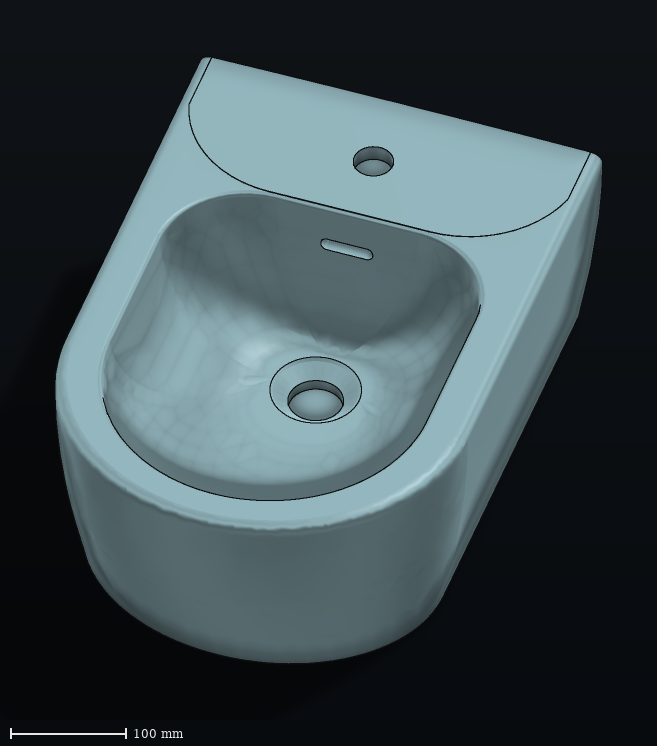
import cadquery as cq
import math

WIDTH = 370.0
LENGTH = 530.0
HEIGHT = 217.0
BACK_Y = 226.0
FRONT_Y = BACK_Y - LENGTH
DECK_RISE = 1.5
RIM_Z = HEIGHT - DECK_RISE
CUT_MARGIN = 5.5

RIM_RADIUS = 10.5
BASE_RADIUS = 7.5
SHELL_LEVELS = [
    (0, 23.5, 46.0),
    (RIM_Z / 2, 6.5, 12.5),
    (RIM_Z - RIM_RADIUS, 0, 0),
    (RIM_Z, 0, 0),
]
NOSE_DEPTH = 175.0

BASIN_HALF_WIDTH = 145.0
BASIN_BACK_Y = 85.0
BASIN_FRONT_Y = -268.0
BASIN_NOSE_DEPTH = 143.0
BASIN_CORNER = 79.5
BASIN_DEPTH = 135.0
BASIN_STEPS = [0, 0.35, 0.65, 0.88, 1.0]
BASIN_FULLNESS = 1.7
BASIN_EDGE_RADIUS = 4.0

DRAIN_RIM_RADIUS = 40.0
DRAIN_CORNER = 37.5
DRAIN_LIP = 2.5
DRAIN_DIAMETER = 48.0
DRAIN_CONE_DEPTH = 13.0
DRAIN_HOLE_DEPTH = 10.5

TAP_DIAMETER = 35.0
TAP_Y = 152.0
TAP_DEPTH = 16.0
OVERFLOW_WIDTH = 47.5
OVERFLOW_HEIGHT = 11.5
OVERFLOW_DROP = 40.0
OVERFLOW_DEPTH = 16.0

DECK_HALF_WIDTH = 174.0
DECK_SIDE_Y = 166.0
DECK_NECK_HALF_WIDTH = 74.0
DECK_ARC_MID = (140.0, 113.0)
DECK_ROOT = 5.5
DECK_NECK_Y = BASIN_BACK_Y + BASIN_EDGE_RADIUS
DECK_FALL = 1.3
DECK_DOME_RADIUS = (DECK_HALF_WIDTH**2 + DECK_FALL**2) / (2 * DECK_FALL)


def shell_level(z, side_inset, front_inset):
    """D-shaped outline with a straight back and an elliptical nose."""
    half = WIDTH / 2 - side_inset
    nose_y = FRONT_Y + NOSE_DEPTH
    return (
        cq.Workplane("XY", origin=(0, 0, z))
        .moveTo(half, BACK_Y)
        .lineTo(-half, BACK_Y)
        .lineTo(-half, nose_y)
        .ellipseArc(half, NOSE_DEPTH - front_inset, 180, 360, startAtCurrent=True)
        .close()
        .val()
    )


def make_shell():
    wires = [shell_level(*level) for level in SHELL_LEVELS]
    shell = cq.Workplane(cq.Solid.makeLoft(wires))
    shell = shell.faces(">Z").edges("not >Y").fillet(RIM_RADIUS)
    return shell.faces("<Z").edges("not >Y").fillet(BASE_RADIUS)


def make_deck():
    """Shallow domed plateau fading out towards the basin and the sides."""
    arc_x, arc_y = DECK_ARC_MID
    plan = (
        cq.Workplane("XY", origin=(0, 0, RIM_Z - DECK_ROOT))
        .moveTo(-DECK_HALF_WIDTH, BACK_Y)
        .lineTo(-DECK_HALF_WIDTH, DECK_SIDE_Y)
        .threePointArc((-arc_x, arc_y), (-DECK_NECK_HALF_WIDTH, DECK_NECK_Y))
        .lineTo(DECK_NECK_HALF_WIDTH, DECK_NECK_Y)
        .threePointArc((arc_x, arc_y), (DECK_HALF_WIDTH, DECK_SIDE_Y))
        .lineTo(DECK_HALF_WIDTH, BACK_Y)
        .close()
        .extrude(DECK_ROOT + DECK_RISE)
    )
    dome = cq.Workplane("XY", origin=(0, BACK_Y, HEIGHT - DECK_DOME_RADIUS)).sphere(DECK_DOME_RADIUS)
    return plan.intersect(dome)


def basin_level(step):
    """Basin outline at a fraction of its depth, shrinking to the drain rim."""
    spread = math.sqrt(1 - step**BASIN_FULLNESS)

    def blend(at_rim, at_drain):
        return at_drain + (at_rim - at_drain) * spread

    half = blend(BASIN_HALF_WIDTH, DRAIN_RIM_RADIUS)
    back = blend(BASIN_BACK_Y, DRAIN_RIM_RADIUS)
    front = blend(BASIN_FRONT_Y, -DRAIN_RIM_RADIUS)
    nose = blend(BASIN_NOSE_DEPTH, DRAIN_CORNER)
    corner = blend(BASIN_CORNER, DRAIN_CORNER)
    return (
        cq.Workplane("XY", origin=(0, 0, RIM_Z - BASIN_DEPTH * step))
        .moveTo(half - corner, back)
        .lineTo(corner - half, back)
        .radiusArc((-half, back - corner), -corner)
        .lineTo(-half, front + nose)
        .ellipseArc(half, nose, 180, 360, startAtCurrent=True)
        .lineTo(half, back - corner)
        .radiusArc((half - corner, back), -corner)
        .close()
        .val()
    )


def make_basin():
    return cq.Workplane(cq.Solid.makeLoft([basin_level(step) for step in BASIN_STEPS]))


def make_drain():
    cone_top = RIM_Z - BASIN_DEPTH
    hole_radius = DRAIN_DIAMETER / 2
    cone_bottom = cone_top - DRAIN_CONE_DEPTH
    hole_bottom = cone_bottom - DRAIN_HOLE_DEPTH
    return (
        cq.Workplane("XZ")
        .polyline([
            (0, cone_top + CUT_MARGIN),
            (DRAIN_RIM_RADIUS, cone_top + CUT_MARGIN),
            (DRAIN_RIM_RADIUS, cone_top),
            (DRAIN_RIM_RADIUS - DRAIN_LIP, cone_top - DRAIN_LIP),
            (hole_radius, cone_bottom),
            (hole_radius, hole_bottom),
            (0, hole_bottom),
        ])
        .close()
        .revolve(360, (0, 0, 0), (0, 1, 0))
    )


def make_tap_hole():
    return (
        cq.Workplane("XY", origin=(0, TAP_Y, HEIGHT - TAP_DEPTH))
        .circle(TAP_DIAMETER / 2)
        .extrude(TAP_DEPTH + CUT_MARGIN)
    )


def make_overflow():
    """Blind slot that enters the back wall of the basin."""
    return (
        cq.Workplane("XZ", origin=(0, BASIN_BACK_Y + OVERFLOW_DEPTH, RIM_Z - OVERFLOW_DROP))
        .slot2D(OVERFLOW_WIDTH, OVERFLOW_HEIGHT)
        .extrude(BASIN_BACK_Y)
    )


body = make_shell().cut(make_basin())
basin_edge = cq.selectors.BoxSelector(
    (-BASIN_HALF_WIDTH - CUT_MARGIN, BASIN_FRONT_Y - CUT_MARGIN, RIM_Z - CUT_MARGIN),
    (BASIN_HALF_WIDTH + CUT_MARGIN, BASIN_BACK_Y + CUT_MARGIN, RIM_Z + CUT_MARGIN),
    boundingbox=True,
)
body = body.edges(basin_edge).fillet(BASIN_EDGE_RADIUS)
body = body.union(make_deck())
result = body.cut(make_drain()).cut(make_tap_hole()).cut(make_overflow())